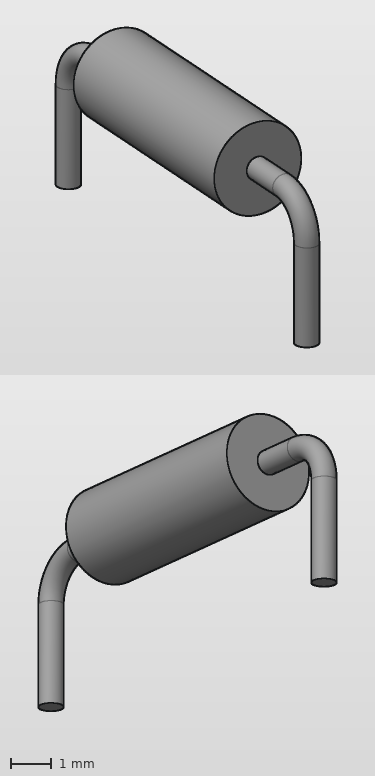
import cadquery as cq

overall_length = 12.16
overall_height = 5.03
body_diameter = 2.49
body_length = 6.8
wire_diameter = 0.63
bend_radius = 1.12

body_end = body_length / 2
leg_x = (overall_length - wire_diameter) / 2
bend_start = leg_x - bend_radius
leg_tip_z = body_diameter / 2 - overall_height


def make_body():
    """Plain cylinder centred on the origin, lying along X."""
    return (
        cq.Workplane("YZ")
        .workplane(offset=-body_end)
        .circle(body_diameter / 2)
        .extrude(body_length)
    )


def make_lead(side):
    """Round wire leaving one end face and bending down; side is +1 or -1 along X."""
    path = (
        cq.Workplane("XZ")
        .moveTo(side * body_end, 0)
        .lineTo(side * bend_start, 0)
        .tangentArcPoint((side * leg_x, -bend_radius), relative=False)
        .lineTo(side * leg_x, leg_tip_z)
    )
    return (
        cq.Workplane("YZ")
        .workplane(offset=side * body_end)
        .circle(wire_diameter / 2)
        .sweep(path)
    )


body = make_body()
leads = [make_lead(side) for side in (-1, 1)]

result = cq.Compound.makeCompound([body.val(), *[lead.val() for lead in leads]])